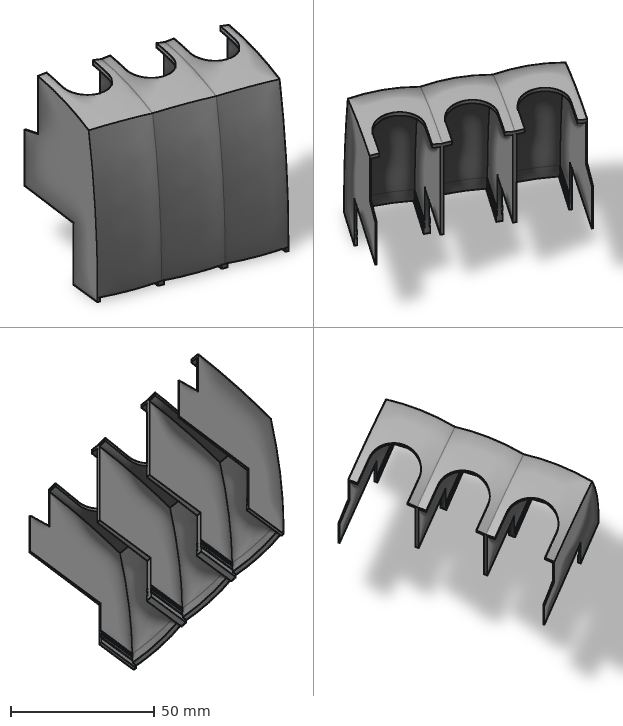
import cadquery as cq
import math

bay_count = 3
width = 78.0
pitch = width / bay_count
bulge = 0.9
skin = 1.8

roof_radius = 129.5
roof_center = (1.3, -58.1)
front_radius = 304.2
front_reach = 49.15
front_center = (front_reach - front_radius, 4.7)

roof_rear = 9.0
skin_bottom = 1.6
lip_top = 7.6

tab_bottom = 24.65
tab_top = 46.5
shoulder_height = 48.5
leg_rear = 32.75
leg_top = 24.0
end_rear_thickness = 0.51
divider_rear_half = 0.66
draft = 0.009

pad_height = 7.0
pad_proud = 0.3
groove_bottom = 3.3
groove_top = 5.4

slot_width = 18.9
slot_end = 28.8
slot_floor = 54.6
slot_ceiling = 78.0


def roof_z(x, offset=0.0):
    """Height of the roof arc at x, moved outward by offset."""
    return roof_center[1] + math.sqrt((roof_radius + offset) ** 2 - (x - roof_center[0]) ** 2)


def front_x(z, offset=0.0):
    """Reach of the front arc at height z, moved outward by offset."""
    return front_center[0] + math.sqrt((front_radius + offset) ** 2 - (z - front_center[1]) ** 2)


def corner(offset=0.0):
    """Crossing of the roof and front arcs, both moved outward by offset."""
    dx = front_center[0] - roof_center[0]
    dz = front_center[1] - roof_center[1]
    distance = math.hypot(dx, dz)
    r_roof = roof_radius + offset
    r_front = front_radius + offset
    along = (distance ** 2 + r_roof ** 2 - r_front ** 2) / (2 * distance)
    across = math.sqrt(r_roof ** 2 - along ** 2)
    return (
        roof_center[0] + (along * dx + across * dz) / distance,
        roof_center[1] + (along * dz - across * dx) / distance,
    )


def roof_point(x, offset=0.0):
    return (x, roof_z(x, offset))


def front_point(z, offset=0.0):
    return (front_x(z, offset), z)


def skin_section(y, offset):
    """Closed XZ section of the skin at y, swollen outward by offset."""
    inner = offset - skin
    outer_corner = corner(offset)
    inner_corner = corner(inner)
    outer_foot = front_point(skin_bottom, offset)
    lip_x = front_x(lip_top, inner)
    section = (
        cq.Workplane("XZ", origin=(0, y, 0))
        .moveTo(*roof_point(roof_rear, offset))
        .threePointArc(roof_point((roof_rear + outer_corner[0]) / 2, offset), outer_corner)
        .threePointArc(front_point((outer_corner[1] + skin_bottom) / 2, offset), outer_foot)
        .lineTo(lip_x, skin_bottom)
        .lineTo(lip_x, lip_top)
        .threePointArc(front_point((inner_corner[1] + lip_top) / 2, inner), inner_corner)
        .threePointArc(roof_point((roof_rear + inner_corner[0]) / 2, inner), roof_point(roof_rear, inner))
        .close()
    )
    return section.val()


def bay_skin(y):
    """Swollen roof and front wall of one bay, with its open-ended slot."""
    sections = [
        skin_section(y - pitch / 2, 0.0),
        skin_section(y, bulge),
        skin_section(y + pitch / 2, 0.0),
    ]
    shell = cq.Workplane(cq.Solid.makeLoft(sections))
    slot_center = slot_end - slot_width / 2
    slot = (
        cq.Workplane("XY", origin=(0, y, slot_floor))
        .moveTo(0, -slot_width / 2)
        .lineTo(slot_center, -slot_width / 2)
        .threePointArc((slot_end, 0), (slot_center, slot_width / 2))
        .lineTo(0, slot_width / 2)
        .close()
        .extrude(slot_ceiling - slot_floor)
    )
    return shell.cut(slot)


def plate_outline(has_tab):
    """Side outline of a plate, extruded across the full width."""
    top_corner = corner()
    slope = (leg_top - tab_bottom) / leg_rear
    outline = (
        cq.Workplane("XZ", origin=(0, width / 2, 0))
        .moveTo(*roof_point(roof_rear))
        .threePointArc(roof_point((roof_rear + top_corner[0]) / 2), top_corner)
        .threePointArc(front_point(top_corner[1] / 2), front_point(0))
        .lineTo(leg_rear, 0)
        .lineTo(leg_rear, leg_top)
    )
    if has_tab:
        outline = outline.lineTo(0, tab_bottom).lineTo(0, tab_top).lineTo(roof_rear, shoulder_height)
    else:
        outline = outline.lineTo(roof_rear, tab_bottom + slope * roof_rear)
    return outline.close().extrude(width)


def wedge(y, rear, rear_half, front_half, low, high):
    """Prism between two heights, centered on y, running from x = rear to the front wall."""
    corners = [
        (rear, y - rear_half),
        (front_reach, y - front_half),
        (front_reach, y + front_half),
        (rear, y + rear_half),
    ]
    return cq.Workplane("XY", origin=(0, 0, low)).polyline(corners).close().extrude(high - low)


def drafted_plate(outline, y, rear, rear_half):
    """Plate centered on y that thickens toward the front and carries grooved pads on its leg."""
    front_half = rear_half + draft * (front_reach - rear)
    pad_half = rear_half + draft * (leg_rear - rear) + pad_proud
    prism = wedge(y, rear, rear_half, front_half, 0, slot_ceiling)
    for low, high in ((0, groove_bottom), (groove_top, pad_height)):
        prism = prism.union(wedge(y, leg_rear, pad_half, pad_half, low, high))
    return outline.intersect(prism)


result = bay_skin(pitch / 2 - width / 2)
for bay in range(1, bay_count):
    result = result.union(bay_skin((bay + 0.5) * pitch - width / 2))

divider_outline = plate_outline(has_tab=False)
for joint in range(1, bay_count):
    divider = drafted_plate(divider_outline, joint * pitch - width / 2, roof_rear, divider_rear_half)
    result = result.union(divider)

end_outline = plate_outline(has_tab=True)
for side in (-1, 1):
    result = result.union(drafted_plate(end_outline, side * width / 2, 0, end_rear_thickness))